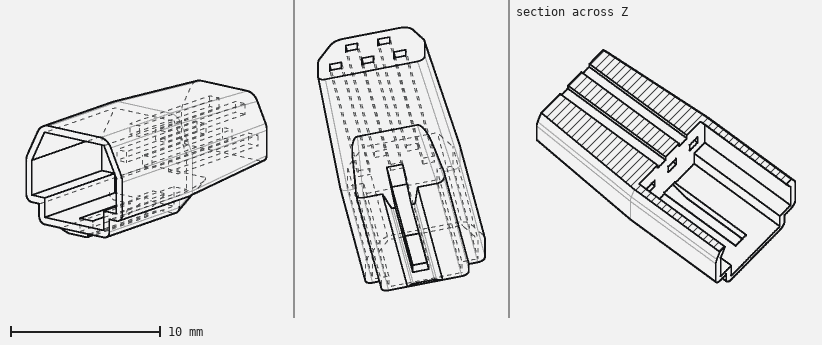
import cadquery as cq
import math

length = 16.05
width = 8.2
height = 6.9
straight_length = 7.5
draft_angle = math.radians(3)
wall = 0.5

shoulder_z = 1.35
bevel_start_z = 4.38
bevel_lean = math.radians(26.6)
upper_radius = 1.0
lower_radius = 0.5

keel_width = 6.0
ramp_angle = math.radians(22)
ramp_side_draft = math.radians(7)

rib_height = 0.4
rib_width = 1.6
rib_radius = 0.2

slot_width = 1.09
slot_start = 1.28
slot_top_z = 0.65

hole_width = 0.8
hole_height = 0.74
hole_pitch = 2.2
hole_offset_x = 0.25
hole_rows = [(3, 3.18), (2, 5.17)]

taper_length = length - straight_length
rear_inset = taper_length * math.tan(draft_angle)


def upper_corners(inset):
    """Corners of the six-sided upper section, moved inward by inset."""
    side_x = width / 2 - inset
    bottom_z = shoulder_z + inset
    top_z = height - inset
    bevel_z = bevel_start_z - inset * math.tan(bevel_lean / 2)
    bevel_x = side_x - (top_z - bevel_z) * math.tan(bevel_lean)
    right = [(side_x, bottom_z), (side_x, bevel_z), (bevel_x, top_z)]
    left = [(-x, z) for x, z in reversed(right)]
    return right + left + right[:1]


def rounded_section(inset):
    """Upper section with its corner roundings."""
    section = cq.Sketch().polygon(upper_corners(inset))
    section = section.vertices("not <Y").fillet(upper_radius)
    return section.reset().vertices("<Y").fillet(lower_radius).reset()


def box(x_size, x_center, y_range, z_range):
    """Block centred on x_center and spanning the given Y and Z ranges."""
    y_size = y_range[1] - y_range[0]
    z_size = z_range[1] - z_range[0]
    block = cq.Workplane("XY").box(x_size, y_size, z_size, centered=(True, False, False))
    return block.translate((x_center, y_range[0], z_range[0]))


def ramp_y(z):
    """Y position of the ramp surface at height z."""
    return straight_length + z / math.tan(ramp_angle)


def upper_body():
    front = rounded_section(0)
    rear = rounded_section(rear_inset).moved(cq.Location(cq.Vector(0, 0, -taper_length)))
    straight = cq.Workplane("XZ").placeSketch(front).extrude(-straight_length)
    taper = cq.Workplane("XZ", origin=(0, straight_length, 0)).placeSketch(front, rear).loft(ruled=True)
    return straight.union(taper)


def keel():
    top_z = shoulder_z + wall
    rear_y = ramp_y(top_z)
    rear_half = keel_width / 2 - (rear_y - straight_length) * math.tan(ramp_side_draft)
    straight = box(keel_width, 0, (0, straight_length), (0, top_z))
    straight = straight.edges("|Y and <Z").fillet(lower_radius)
    ramp_profile = [(straight_length, 0), (rear_y, top_z), (straight_length, top_z)]
    ramp = cq.Workplane("YZ").polyline(ramp_profile).close().extrude(keel_width / 2, both=True)
    plan = [
        (-keel_width / 2, straight_length),
        (keel_width / 2, straight_length),
        (rear_half, rear_y),
        (-rear_half, rear_y),
    ]
    ramp = ramp.intersect(cq.Workplane("XY").polyline(plan).close().extrude(top_z))
    ramp = ramp.faces("<Z").edges("not |X").fillet(lower_radius)
    return straight.union(ramp)


def rib():
    top_z = wall / 2
    half_base = rib_width / 2 + rib_height + top_z
    half_tip = rib_width / 2
    section = [(-half_base, top_z), (-half_tip, -rib_height), (half_tip, -rib_height), (half_base, top_z)]
    bar = cq.Workplane("XZ").polyline(section).close().extrude(-ramp_y(top_z))
    bar = bar.edges("|Y and <Z").fillet(rib_radius)
    side = [
        (0, top_z),
        (0, 0),
        (rib_height, -rib_height),
        (ramp_y(-rib_height), -rib_height),
        (ramp_y(top_z), top_z),
    ]
    return bar.intersect(cq.Workplane("YZ").polyline(side).close().extrude(width / 2, both=True))


def cavity():
    main = cq.Workplane("XZ").polyline(upper_corners(wall)).close().extrude(-straight_length)
    channel = box(keel_width - 2 * wall, 0, (0, straight_length), (wall, shoulder_z + 2 * wall))
    return main.union(channel)


def floor_slot():
    return box(slot_width, 0, (slot_start, length), (-rib_height, slot_top_z))


def wire_holes():
    holes = cq.Workplane("XY")
    for count, row_z in hole_rows:
        z_range = (row_z - hole_height / 2, row_z + hole_height / 2)
        for index in range(count):
            hole_x = hole_offset_x + (index - (count - 1) / 2) * hole_pitch
            holes = holes.add(box(hole_width, hole_x, (0, length), z_range))
    return holes.combine()


shell = upper_body().union(keel()).union(rib())
result = shell.cut(cavity()).cut(floor_slot()).cut(wire_holes())